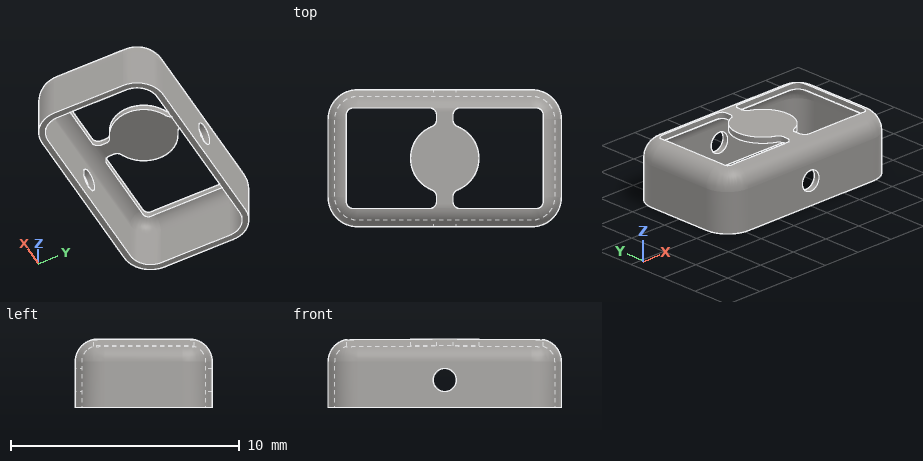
import cadquery as cq

length = 10.2
width = 6.0
height = 3.0
corner_radius = 1.3
top_round = 1.0

wall = 0.3
inner_corner_radius = corner_radius - wall
inner_top_round = top_round - wall

rim_width = 0.81
window_corner_radius = 0.3
bridge_width = 0.73
pad_diameter = 3.0
bridge_fillet = 0.3

hole_diameter = 1.0
hole_height = 1.2


def rounded_block(size_x, size_y, size_z, side_radius, top_radius):
    """Block standing on Z = 0 with rounded upright corners and top edge."""
    block = cq.Workplane("XY").box(size_x, size_y, size_z, centered=(True, True, False))
    return block.edges("|Z").fillet(side_radius).faces(">Z").edges().fillet(top_radius)


def window_cutter():
    """Window prism with the bridge and pad left out, its corners rounded."""
    window_length = length - 2 * rim_width
    window_width = width - 2 * rim_width
    window = cq.Workplane("XY").rect(window_length, window_width).extrude(height)
    window = window.edges("|Z").fillet(window_corner_radius)
    bridge = cq.Workplane("XY").rect(bridge_width, width).extrude(height)
    pad = cq.Workplane("XY").circle(pad_diameter / 2).extrude(height)
    openings = window.cut(bridge.union(pad))

    strip = cq.selectors.BoxSelector((-bridge_width, -width, 0), (bridge_width, width, height))
    return openings.edges("|Z").edges(strip).fillet(bridge_fillet)


shell = rounded_block(length, width, height, corner_radius, top_round)
cavity = rounded_block(
    length - 2 * wall,
    width - 2 * wall,
    height - wall,
    inner_corner_radius,
    inner_top_round,
)
cross_hole = (
    cq.Workplane("XZ")
    .center(0, hole_height)
    .circle(hole_diameter / 2)
    .extrude(width, both=True)
)

result = shell.cut(cavity).cut(window_cutter()).cut(cross_hole)